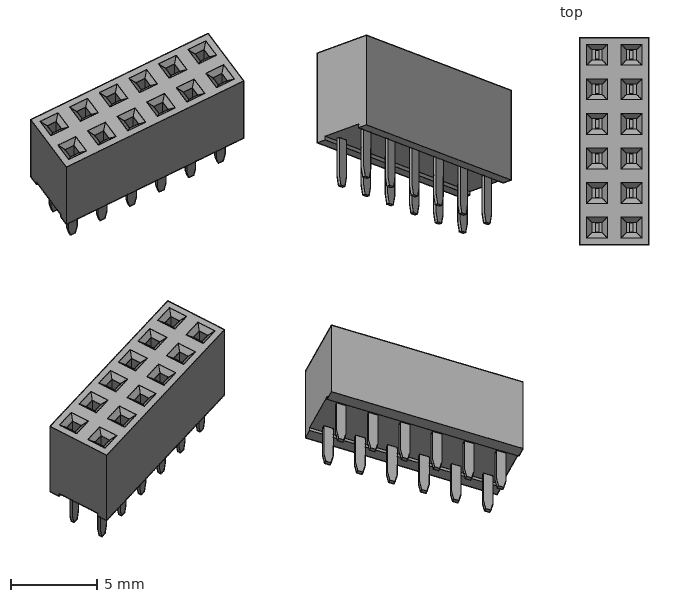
import cadquery as cq

body_width = 4.0
body_length = 12.0
body_height = 5.6

row_count = 2
pins_per_row = 6
pitch = body_length / pins_per_row
pin_row_spacing = 1.97

channel_width = 2.69
channel_height = 0.23

shaft_size = 0.6
lead_in_size = 1.2
lead_in_depth = (lead_in_size - shaft_size) / 2
socket_depth = 3.6

pin_thickness = 0.2
tail_width = 0.6
tail_length = 2.7
tail_tip_width = 0.34
tail_tip_length = 0.6
blade_width = 0.5
blade_height = 1.8

socket_floor = body_height - socket_depth


def make_body():
    """Rectangular housing with the channel open at both ends."""
    body = cq.Workplane("XY").box(body_width, body_length, body_height, centered=(True, True, False))
    channel = cq.Workplane("XY").box(
        channel_width, body_length, channel_height, centered=(True, True, False)
    )
    return body.cut(channel)


def make_socket():
    """Cutter for one socket, centred on the Z axis."""
    shaft = (
        cq.Workplane("XY", origin=(0, 0, socket_floor))
        .rect(shaft_size, shaft_size)
        .extrude(socket_depth)
    )
    lead_in = (
        cq.Workplane("XY", origin=(0, 0, body_height - lead_in_depth))
        .rect(shaft_size, shaft_size)
        .workplane(offset=lead_in_depth)
        .rect(lead_in_size, lead_in_size)
        .loft(ruled=True)
    )
    return shaft.union(lead_in)


def make_contact():
    """One flat contact in the YZ plane, centred on the Z axis."""
    half_profile = [
        (0, -tail_length),
        (tail_tip_width / 2, -tail_length),
        (tail_width / 2, -tail_length + tail_tip_length),
        (tail_width / 2, socket_floor),
        (blade_width / 2, socket_floor),
        (blade_width / 2, socket_floor + blade_height),
        (0, socket_floor + blade_height),
    ]
    return (
        cq.Workplane("YZ")
        .polyline(half_profile)
        .mirrorY()
        .extrude(pin_thickness / 2, both=True)
    )


def place_on_grid(shape, row_spacing):
    """Repeat a shape over the contact grid."""
    return (
        cq.Workplane("XY")
        .rarray(row_spacing, pitch, row_count, pins_per_row)
        .eachpoint(lambda location: shape.val().moved(location))
    )


sockets = place_on_grid(make_socket(), pitch)
contacts = place_on_grid(make_contact(), pin_row_spacing)
result = make_body().cut(sockets).union(contacts)